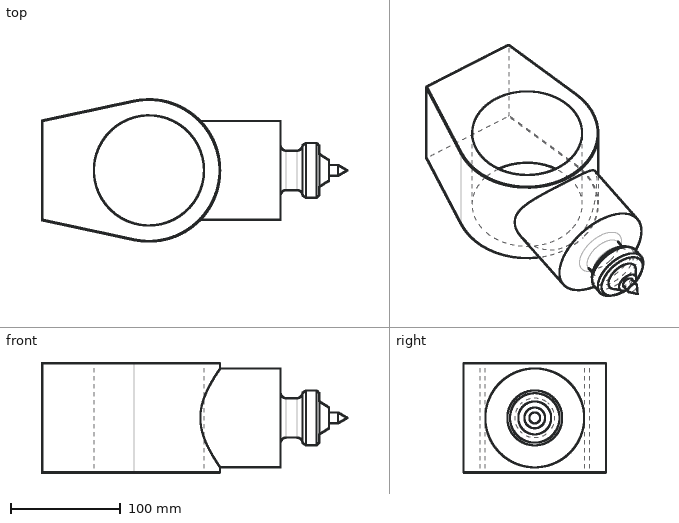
import cadquery as cq
import math

block_height = 100.2
ring_center_x = 97.5
ring_diameter = 130.0
ring_radius = ring_diameter / 2
bore_radius = 50.0
back_width = 91.0
rim_chamfer = 0.7

barrel_radius = 45.0
barrel_end_x = 217.5
neck_radius = 18.0
neck_fillet = 5.0
collar_start_x = 237.5
collar_radius = 25.0
collar_length = 15.3
collar_rear_chamfer = 3.3
collar_front_chamfer = 2.5
nose_base_radius = 15.0
nose_tip_radius = 9.5
nose_end_x = 261.6
pin_radius = 5.0
pin_end_x = 269.7
tip_x = 278.4


def make_block():
    """Tapered block whose flat sides run tangent into the ring."""
    half_back = back_width / 2
    corner_distance = math.hypot(ring_center_x, half_back)
    corner_angle = math.atan2(half_back, -ring_center_x)
    tangent_angle = corner_angle - math.acos(ring_radius / corner_distance)
    tangent_x = ring_center_x + ring_radius * math.cos(tangent_angle)
    tangent_y = ring_radius * math.sin(tangent_angle)
    block = (
        cq.Workplane("XY")
        .workplane(offset=-block_height / 2)
        .moveTo(0, -half_back)
        .lineTo(tangent_x, -tangent_y)
        .threePointArc((ring_center_x + ring_radius, 0), (tangent_x, tangent_y))
        .lineTo(0, half_back)
        .close()
        .extrude(block_height)
    )
    return block.faces("|Z").edges("not(<X)").chamfer(rim_chamfer)


def make_spindle():
    """Barrel, necked collar, conical nose and pointed pin, revolved about X."""
    arc_inset = neck_fillet * (1 - math.sqrt(0.5))
    flare_radius = neck_radius + neck_fillet
    collar_end_x = collar_start_x + collar_length
    profile = (
        cq.Workplane("XZ")
        .moveTo(ring_center_x, 0)
        .lineTo(ring_center_x, barrel_radius)
        .lineTo(barrel_end_x, barrel_radius)
        .lineTo(barrel_end_x, flare_radius)
        .threePointArc(
            (barrel_end_x + arc_inset, neck_radius + arc_inset),
            (barrel_end_x + neck_fillet, neck_radius),
        )
        .lineTo(collar_start_x - neck_fillet, neck_radius)
        .threePointArc(
            (collar_start_x - arc_inset, neck_radius + arc_inset),
            (collar_start_x, flare_radius),
        )
        .lineTo(collar_start_x + collar_rear_chamfer, collar_radius)
        .lineTo(collar_end_x - collar_front_chamfer, collar_radius)
        .lineTo(collar_end_x, collar_radius - collar_front_chamfer)
        .lineTo(collar_end_x, nose_base_radius)
        .lineTo(nose_end_x, nose_tip_radius)
        .lineTo(nose_end_x, pin_radius)
        .lineTo(pin_end_x, pin_radius)
        .lineTo(tip_x, 0)
        .close()
    )
    return profile.revolve(360, (0, 0, 0), (1, 0, 0))


def make_bore():
    """Through hole of the ring."""
    return (
        cq.Workplane("XY")
        .workplane(offset=-block_height / 2)
        .center(ring_center_x, 0)
        .circle(bore_radius)
        .extrude(block_height)
    )


result = make_block().union(make_spindle()).cut(make_bore())